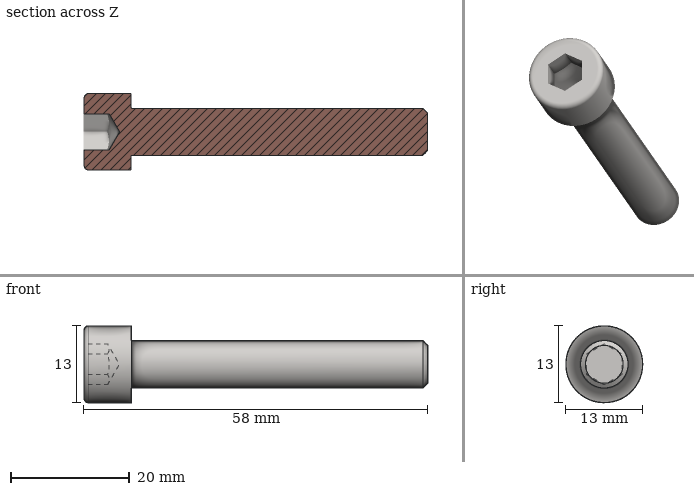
import cadquery as cq
import math

overall_length = 58.0
head_diameter = 13.0
shank_diameter = 8.0
head_height = shank_diameter
head_rim_radius = 0.8
neck_fillet_radius = 0.1
tip_chamfer = 0.8
socket_across_flats = 6.0
socket_depth = head_height / 2
socket_cone_angle = 120.0

left_end = -overall_length / 2
socket_across_corners = socket_across_flats / math.cos(math.radians(30))


def make_head():
    head = cq.Workplane("YZ", origin=(left_end, 0, 0)).circle(head_diameter / 2).extrude(head_height)
    return head.faces("<X").edges().fillet(head_rim_radius)


def make_shank():
    """Plain shank with a chamfered tip, running from the underside of the head to the far end."""
    shank = cq.Workplane("YZ", origin=(left_end + head_height, 0, 0))
    shank = shank.circle(shank_diameter / 2).extrude(overall_length - head_height)
    return shank.faces(">X").chamfer(tip_chamfer)


def add_neck_fillet(screw):
    """Round the corner where the shank meets the underside of the head."""
    reach = shank_diameter / 2 + neck_fillet_radius
    neck = cq.selectors.BoxSelector(
        (left_end + head_height - neck_fillet_radius, -reach, -reach),
        (left_end + head_height + neck_fillet_radius, reach, reach),
        boundingbox=True,
    )
    return screw.edges(neck).fillet(neck_fillet_radius)


def make_socket():
    """Hexagon with corners up and down, ending in a cone that touches its corners."""
    hexagon = cq.Workplane("YZ", origin=(left_end, 0, 0)).transformed(rotate=(0, 0, 90))
    cone_height = socket_across_corners / 2 / math.tan(math.radians(socket_cone_angle / 2))
    hexagon = hexagon.polygon(6, socket_across_corners).extrude(socket_depth + cone_height)
    bore = (
        cq.Workplane("XY")
        .moveTo(left_end, 0)
        .lineTo(left_end, socket_across_corners / 2)
        .lineTo(left_end + socket_depth, socket_across_corners / 2)
        .lineTo(left_end + socket_depth + cone_height, 0)
        .close()
        .revolve(360, (left_end, 0, 0), (left_end + 0.6, 0, 0))
    )
    return hexagon.intersect(bore)


screw = add_neck_fillet(make_head().union(make_shank()))
result = screw.cut(make_socket())